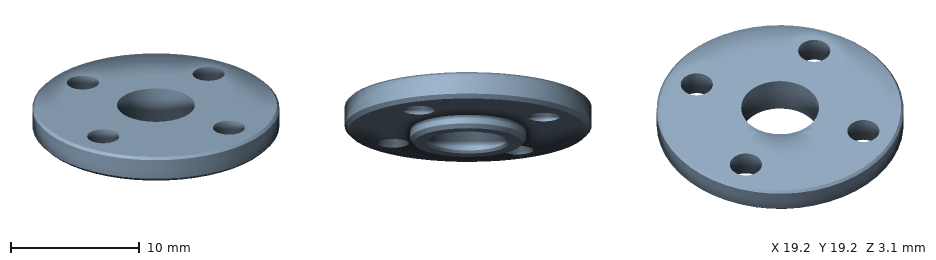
import cadquery as cq

disc_diameter = 19.2
total_height = 3.1
hub_height = 1.0
disc_thickness = total_height - hub_height
top_chamfer = 0.2
bottom_chamfer = 0.3

hub_diameter = 9.0
hub_chamfer = 0.3
bore_diameter = 6.05
bore_chamfer = 0.2
chamfer_angle = 45

hole_count = 4
hole_diameter = 2.5
hole_circle_diameter = 14.0


def make_disc():
    """Flange disc resting on Z = 0, with both rims chamfered."""
    disc = cq.Workplane("XY").circle(disc_diameter / 2).extrude(disc_thickness)
    disc = disc.faces(">Z").edges().chamfer(top_chamfer)
    return disc.faces("<Z").edges().chamfer(bottom_chamfer)


def make_hub():
    """Hub hanging below Z = 0, with its lower rim chamfered."""
    hub = cq.Workplane("XY").circle(hub_diameter / 2).extrude(-hub_height)
    return hub.faces("<Z").edges().chamfer(hub_chamfer)


def make_bore():
    """Cutter for the central through bore, flared at its lower mouth."""
    base = cq.Workplane("XY").workplane(offset=-hub_height)
    bore = base.circle(bore_diameter / 2).extrude(total_height)
    mouth = base.circle(bore_diameter / 2 + bore_chamfer).extrude(bore_chamfer, taper=chamfer_angle)
    return bore.union(mouth)


def make_mounting_holes():
    """Cutters for the through holes, evenly spaced from the X axis."""
    return (
        cq.Workplane("XY")
        .polarArray(hole_circle_diameter / 2, 0, 360, hole_count)
        .circle(hole_diameter / 2)
        .extrude(disc_thickness)
    )


result = make_disc().union(make_hub()).cut(make_bore()).cut(make_mounting_holes())